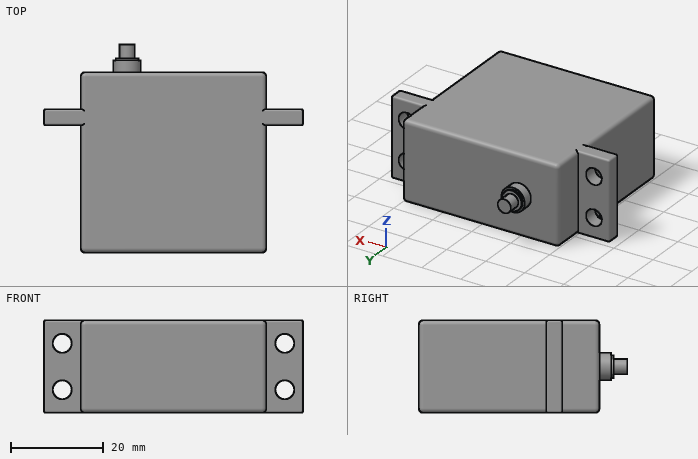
import cadquery as cq

case_width = 40.05
case_depth = 39.0
case_height = 20.0
case_rounding = 1.0

ear_span = 55.95
ear_thickness = 3.5
ear_setback = 8.0
ear_rounding = 0.5

hole_diameter = 4.0
hole_pitch = 10.0
hole_edge_distance = 3.95
hole_spacing = ear_span - 2 * hole_edge_distance

shaft_x = -10.0
overall_depth = 45.0
boss_diameter = 6.0
boss_length = 2.5
collar_diameter = 5.0
collar_length = 0.5
shaft_diameter = 3.35
shaft_length = overall_depth - case_depth - boss_length - collar_length


def rounded_block(width, depth, height, center_y, rounding):
    """Block centred in X and Z with every edge rounded."""
    block = cq.Workplane("XY").box(width, depth, height).edges().fillet(rounding)
    return block.translate((0, center_y, 0))


def output_shaft():
    """Boss, collar and shaft stacked toward +Y on the rear face."""
    steps = (
        cq.Workplane("XZ", origin=(shaft_x, case_depth, 0))
        .circle(boss_diameter / 2)
        .extrude(-boss_length)
    )
    for diameter, length in ((collar_diameter, collar_length), (shaft_diameter, shaft_length)):
        steps = steps.faces(">Y").workplane().circle(diameter / 2).extrude(length)
    return steps


def screw_holes():
    """Cutters for two holes in each ear, running along Y."""
    return (
        cq.Workplane("XZ")
        .rarray(hole_spacing, hole_pitch, 2, 2)
        .circle(hole_diameter / 2)
        .extrude(-case_depth)
    )


ear_center_y = case_depth - ear_setback - ear_thickness / 2

case = rounded_block(case_width, case_depth, case_height, case_depth / 2, case_rounding)
ears = rounded_block(ear_span, ear_thickness, case_height, ear_center_y, ear_rounding)
result = case.union(ears).union(output_shaft()).cut(screw_holes())